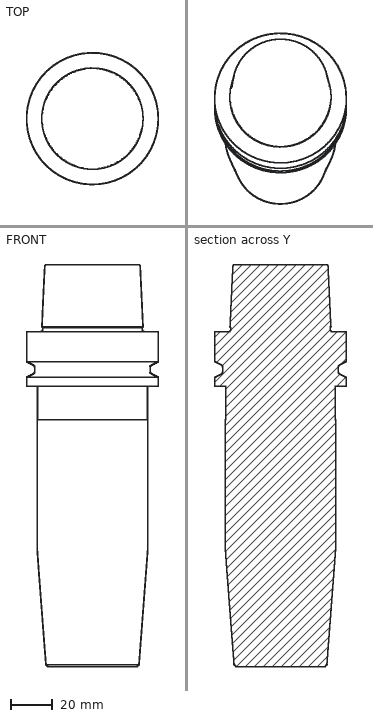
import cadquery as cq

total_height = 191.9

shank_top_radius = 22.8
shank_base_radius = 24.2
shank_height = 32.0
shank_edge_fillet = 1.0

relief_height = 2.3
relief_depth = 0.4
foot_radius = 25.0
foot_fillet = foot_radius - (shank_base_radius - relief_depth)

flange_radius = 31.5
flange_height = 26.1
groove_floor_radius = 27.6
groove_center_depth = 18.0
groove_floor_width = 3.5
groove_mouth_width = 7.3
groove_fillet = 0.8

neck_radius = 26.3
neck_bottom = 117.8
body_radius = 26.5
nose_height = 56.5
nose_tip_radius = 22.3
nose_edge = 1.0

flange_top = total_height - shank_height
flange_bottom = flange_top - flange_height
groove_center = flange_top - groove_center_depth
relief_radius = shank_base_radius - relief_depth
relief_top = flange_top + relief_height


def turn(profile):
    """Revolve a closed (radius, height) profile about the vertical axis."""
    return profile.close().revolve(360, (0, 0, 0), (0, 1, 0))


def make_nose_and_body():
    return turn(
        cq.Workplane("XZ")
        .lineTo(nose_tip_radius - nose_edge, 0)
        .lineTo(nose_tip_radius, nose_edge)
        .lineTo(body_radius, nose_height)
        .lineTo(body_radius, neck_bottom)
        .lineTo(neck_radius, neck_bottom)
        .lineTo(neck_radius, flange_bottom)
        .lineTo(0, flange_bottom)
    )


def make_flange():
    floor_half = groove_floor_width / 2
    mouth_half = groove_mouth_width / 2
    flange = turn(
        cq.Workplane("XZ")
        .moveTo(0, flange_bottom)
        .lineTo(flange_radius, flange_bottom)
        .lineTo(flange_radius, groove_center - mouth_half)
        .lineTo(groove_floor_radius, groove_center - floor_half)
        .lineTo(groove_floor_radius, groove_center + floor_half)
        .lineTo(flange_radius, groove_center + mouth_half)
        .lineTo(flange_radius, flange_top)
        .lineTo(0, flange_top)
    )
    floor_edges = cq.selectors.BoxSelector(
        (-flange_radius, -flange_radius, groove_center - groove_floor_width),
        (flange_radius, flange_radius, groove_center + groove_floor_width),
    )
    circles = flange.edges("%CIRCLE").edges(floor_edges)
    return circles.edges(cq.selectors.RadiusNthSelector(0)).fillet(groove_fillet)


def make_shank():
    return turn(
        cq.Workplane("XZ")
        .moveTo(0, flange_top)
        .lineTo(foot_radius, flange_top)
        .radiusArc((relief_radius, flange_top + foot_fillet), foot_fillet)
        .lineTo(relief_radius, relief_top - relief_depth)
        .lineTo(shank_base_radius, relief_top)
        .lineTo(shank_top_radius, total_height - shank_edge_fillet)
        .radiusArc((shank_top_radius - shank_edge_fillet, total_height), -shank_edge_fillet)
        .lineTo(0, total_height)
    )


result = make_nose_and_body().union(make_flange()).union(make_shank())